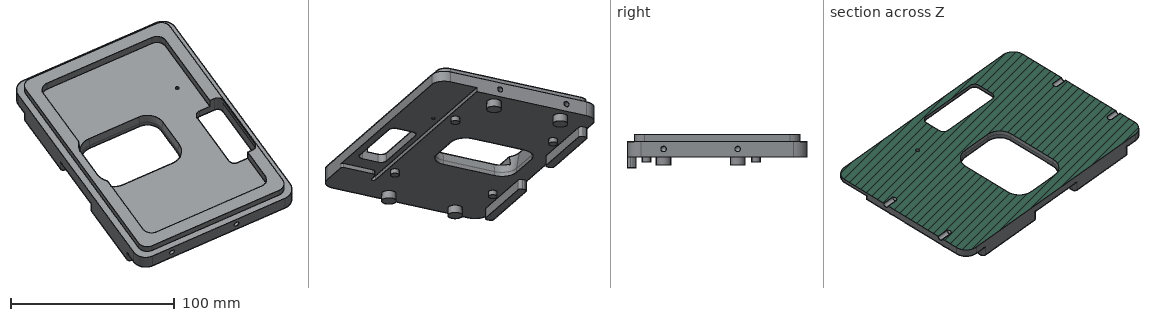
import cadquery as cq
import math

plate_length = 159.7
plate_width = 109.7
plate_height = 9.5
plate_corner_radius = 8.5

rim_length = 151.7
rim_width = 101.1
rim_height = 4.5
rim_corner_radius = 6.0
pocket_length = 135.3
pocket_width = 85.6
pocket_depth = 5.7
top_z = plate_height + rim_height

window_length = 40.0
window_width = 54.6
window_center_y = -16.5
window_corner_radius = 9.9
window_straight_height = 2.7
window_flare_angle = 10.0

slot_length = 47.0
slot_width = 18.2
slot_center = (16.6, 40.9)
slot_corner_radius = 3.8

pin_hole_diameter = 2.0
pin_hole_center = (-29.4, 32.7)

recess_depth = 2.7
recess_front_y = 28.5
recess_end_x = 51.1
recess_back_radius = 1.3
channel_width = 2.7
channel_length = 8.0
channel_mouth_radius = 2.7

foot_diameter = 9.0
foot_height = 5.0
foot_spacing_x = 143.0
foot_rows_y = (12.5, -32.7)

side_hole_diameter = 3.4
side_hole_z = 5.0
side_hole_depth = 8.0
drill_tip_angle = 118.0

pin_diameter = 5.5
pin_height = 3.0
pin_spacing_x = 82.1
pin_rows_y = (23.6, -43.1)

lug_length = 47.9
lug_width = 5.5
lug_height = 6.5
lug_spacing = 82.2
lug_corner_diameter = 4.0


def rounded_block(length, width, height, radius, center=(0, 0), base_z=0.0):
    """Block standing on base_z with rounded vertical edges."""
    block = cq.Workplane("XY").box(length, width, height, centered=(True, True, False))
    return block.edges("|Z").fillet(radius).translate((center[0], center[1], base_z))


def mirrored_posts(diameter, height, spacing_x, rows_y):
    """Round posts hanging from the underside, in left and right pairs."""
    centers = [(side * spacing_x / 2, y) for side in (-1, 1) for y in rows_y]
    return cq.Workplane("XY").pushPoints(centers).circle(diameter / 2).extrude(-height)


def window_cutter():
    center = (0, window_center_y)
    straight = rounded_block(window_length, window_width, window_straight_height, window_corner_radius, center)
    flare_height = top_z - window_straight_height
    flare = (
        straight.faces(">Z")
        .wires()
        .toPending()
        .workplane()
        .extrude(flare_height, taper=-window_flare_angle, combine=False)
    )
    return straight.union(flare)


def recess_cutter():
    back_y = plate_width / 2
    left_x = -plate_length / 2
    channel_radius = channel_width / 2
    channel_back_y = recess_front_y + channel_width
    channel_end_x = recess_end_x + channel_length
    return (
        cq.Workplane("XY")
        .moveTo(left_x, recess_front_y)
        .lineTo(channel_end_x - channel_radius, recess_front_y)
        .threePointArc(
            (channel_end_x, recess_front_y + channel_radius),
            (channel_end_x - channel_radius, channel_back_y),
        )
        .lineTo(recess_end_x + channel_mouth_radius, channel_back_y)
        .radiusArc((recess_end_x, channel_back_y + channel_mouth_radius), channel_mouth_radius)
        .lineTo(recess_end_x, back_y - recess_back_radius)
        .radiusArc((recess_end_x + recess_back_radius, back_y), recess_back_radius)
        .lineTo(left_x, back_y)
        .close()
        .extrude(recess_depth)
    )


def side_hole_cutter(side, y):
    """Drilled hole with a conical end; side is -1 for the left face and 1 for the right."""
    radius = side_hole_diameter / 2
    tip_depth = side_hole_depth + radius / math.tan(math.radians(drill_tip_angle / 2))
    face_x = side * plate_length / 2
    return (
        cq.Workplane("XY")
        .polyline(
            [
                (face_x, 0),
                (face_x, radius),
                (face_x - side * side_hole_depth, radius),
                (face_x - side * tip_depth, 0),
            ]
        )
        .close()
        .revolve(360, (0, 0, 0), (1, 0, 0))
        .translate((0, y, side_hole_z))
    )


body = rounded_block(plate_length, plate_width, plate_height, plate_corner_radius)
body = body.union(rounded_block(rim_length, rim_width, rim_height, rim_corner_radius, base_z=plate_height))

body = body.cut(
    rounded_block(pocket_length, pocket_width, pocket_depth, rim_corner_radius, base_z=top_z - pocket_depth)
)
body = body.cut(window_cutter())
body = body.cut(rounded_block(slot_length, slot_width, top_z, slot_corner_radius, slot_center))
body = body.cut(cq.Workplane("XY").center(*pin_hole_center).circle(pin_hole_diameter / 2).extrude(top_z))
body = body.cut(recess_cutter())

body = body.union(mirrored_posts(foot_diameter, foot_height, foot_spacing_x, foot_rows_y))
body = body.union(mirrored_posts(pin_diameter, pin_height, pin_spacing_x, pin_rows_y))
lug_center_y = (lug_width - plate_width) / 2
for side in (-1, 1):
    lug_center = (side * lug_spacing / 2, lug_center_y)
    lug = rounded_block(lug_length, lug_width, lug_height, lug_corner_diameter / 2, lug_center, -lug_height)
    body = body.union(lug)

for side in (-1, 1):
    for y in foot_rows_y:
        body = body.cut(side_hole_cutter(side, y))

result = body